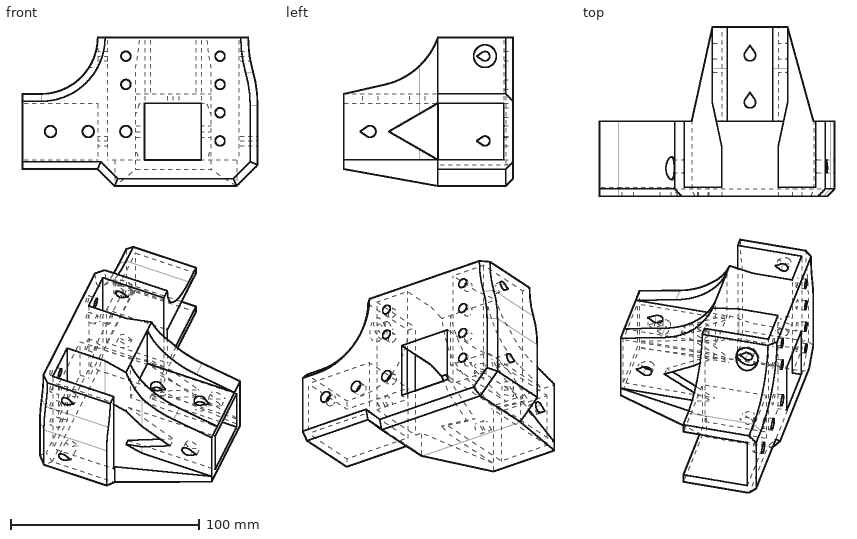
import cadquery as cq
import math

length = 125.0
depth = 90.0
height = 79.0
wall = 5.0

body_depth = 40.0
front_chamfer = 4.0
scoop_radius = 30.0
arm_end = 40.0
arm_bottom = 9.0
arm_top = height - scoop_radius
cavity_bottom = arm_bottom + wall
cavity_top = arm_top - wall
cavity_height = cavity_top - cavity_bottom
foot_left = arm_end + arm_bottom
foot_chamfer = 11.2
foot_right = length - foot_chamfer

right_top = 120.0
curve_start = 43.0
curve_height = height - curve_start
half_step = (length - right_top) / 2
half_rise = curve_height / 2
curve_radius = (half_step**2 + half_rise**2) / (2 * half_step)

tunnel_width = 30.0
center_x = 80.0
tunnel_left = center_x - tunnel_width / 2
tail_width = tunnel_width + 2 * wall
tail_left = center_x - tail_width / 2
flare_start = 26.5
flare_end = 50.0
rib_width = 8.0
rib_bend_y = 68.0
rib_bend_z = 54.0

well_left = arm_end + wall
well_right = right_top - wall

small_hole = 5.0
large_hole = 6.0
counterbore = 12.0
teardrop_tip_ratio = 1.75
small_hole_columns = [
    (55.0, [54.0, 69.0]),
    (105.0, [24.0, 39.0, 54.0, 69.0]),
]
large_hole_xs = [15.0, 35.0, 55.0]
mid_height = (cavity_bottom + cavity_top) / 2
side_hole_y = 15.0
side_hole_zs = [24.0, 69.0]
tail_side_hole_y = 76.0
rear_plate_hole_y = 75.0
front_plate_hole_y = 50.0


def block(x0, x1, y0, y1, z0, z1):
    """Box given by its limits along each axis."""
    return cq.Workplane("XY").box(x1 - x0, y1 - y0, z1 - z0, centered=False).translate((x0, y0, z0))


def arc_point(center, radius, degrees):
    """Point on a circle at the given angle."""
    angle = math.radians(degrees)
    return (center[0] + radius * math.cos(angle), center[1] + radius * math.sin(angle))


def make_body():
    """Solid body profile with a chamfer round the front, except at the arm end and the top."""
    half_angle = math.degrees(math.asin(half_rise / curve_radius)) / 2
    lower_center = (length - curve_radius, curve_start)
    upper_center = (right_top + curve_radius, height)
    body = (
        cq.Workplane("XZ")
        .moveTo(0, arm_bottom)
        .lineTo(arm_end, arm_bottom)
        .lineTo(foot_left, 0)
        .lineTo(foot_right, 0)
        .lineTo(length, foot_chamfer)
        .lineTo(length, curve_start)
        .threePointArc(
            arc_point(lower_center, curve_radius, half_angle),
            (length - half_step, curve_start + half_rise),
        )
        .threePointArc(arc_point(upper_center, curve_radius, 180 + half_angle), (right_top, height))
        .lineTo(arm_end, height)
        .threePointArc(
            arc_point((arm_end - scoop_radius, height), scoop_radius, -45),
            (arm_end - scoop_radius, arm_top),
        )
        .lineTo(0, arm_top)
        .close()
        .extrude(-body_depth)
    )
    margin = 1.2
    chamfered = cq.selectors.BoxSelector(
        (margin, -margin, -margin),
        (length + margin, margin, height - margin),
    )
    return body.faces("<Y").edges(chamfered).chamfer(front_chamfer)


def make_core():
    """Core between the wells, flaring into the tail and cut to the falling rib profile."""
    right = 2 * center_x - tunnel_left
    tail_right = tail_left + tail_width
    plan = (
        cq.Workplane("XY")
        .workplane(offset=cavity_bottom)
        .polyline([
            (tunnel_left, 0), (tunnel_left, flare_start), (tail_left, flare_end), (tail_left, depth),
            (tail_right, depth), (tail_right, flare_end), (right, flare_start), (right, 0),
        ])
        .close()
        .extrude(height - cavity_bottom)
    )
    profile = (
        cq.Workplane("YZ")
        .moveTo(wall, cavity_bottom)
        .lineTo(depth, cavity_bottom)
        .lineTo(depth, arm_top)
        .lineTo(rib_bend_y, rib_bend_z)
        .tangentArcPoint((body_depth, height), relative=False)
        .lineTo(wall, height)
        .close()
        .extrude(length)
    )
    rib_gap = tail_width - 2 * rib_width
    gap_left = tail_left + rib_width
    channel = block(gap_left, gap_left + rib_gap, body_depth, depth, arm_top, height)
    return plan.intersect(profile).cut(channel)


def make_tail_floor():
    """Floor under the tail, tapering in width and thickness towards the back."""
    def section(x0, x1, bottom, y):
        corners = [(x0, bottom), (x1, bottom), (x1, cavity_bottom), (x0, cavity_bottom)]
        return cq.Wire.makePolygon([cq.Vector(x, y, z) for x, z in corners], close=True)

    front = section(foot_left, foot_right, 0, body_depth)
    back = section(tail_left, tail_left + tail_width, arm_bottom, depth)
    return cq.Workplane(cq.Solid.makeLoft([front, back], True))


def make_side_opening():
    """Equilateral triangular opening through both tail walls, pointing back."""
    apex_y = body_depth + cavity_height * math.sqrt(3) / 2
    return (
        cq.Workplane("YZ")
        .polyline([(body_depth, cavity_bottom), (apex_y, mid_height), (body_depth, cavity_top)])
        .close()
        .extrude(length)
    )


def front_hole(x, z, diameter):
    """Round hole through the front wall."""
    return cq.Workplane("XZ").center(x, z).circle(diameter / 2).extrude(-wall)


def teardrop(plane, diameter, tip_direction, start, span):
    """Teardrop prism extruded from a base plane, with its tip along the given direction."""
    radius = diameter / 2
    tip = teardrop_tip_ratio * radius
    tangent_along = radius**2 / tip
    tangent_across = math.sqrt(radius**2 - tangent_along**2)

    def point(along, across):
        dx, dy = tip_direction
        return (along * dx - across * dy, along * dy + across * dx)

    return (
        cq.Workplane(plane)
        .moveTo(*point(tip, 0))
        .lineTo(*point(tangent_along, tangent_across))
        .threePointArc(point(-radius, 0), point(tangent_along, -tangent_across))
        .close()
        .extrude(span)
        .translate(start)
    )


def side_teardrop(y, z, diameter):
    """Teardrop through the part along X."""
    return teardrop("YZ", diameter, (1, 0), (0, y, z), length)


def plate_teardrop(y):
    """Teardrop down through the plate over the tunnel."""
    return teardrop("XY", large_hole, (0, 1), (center_x, y, cavity_top), height)


hollow_body = make_body().cut(block(0, arm_end, wall, body_depth, cavity_bottom, cavity_top))
hollow_body = hollow_body.cut(block(well_left, well_right, wall, body_depth, cavity_bottom, height))

for hole_z in side_hole_zs:
    hollow_body = hollow_body.cut(side_teardrop(side_hole_y, hole_z, small_hole))
bore = (
    cq.Workplane("YZ")
    .center(side_hole_y, max(side_hole_zs))
    .circle(counterbore / 2)
    .extrude(arm_end)
)
hollow_body = hollow_body.cut(bore)

result = hollow_body.union(make_core()).union(make_tail_floor())

result = result.cut(block(tunnel_left, tunnel_left + tunnel_width, 0, depth, cavity_bottom, cavity_top))
result = result.cut(make_side_opening())
result = result.cut(side_teardrop(tail_side_hole_y, mid_height, large_hole))

result = result.cut(block(well_left, well_right, wall, body_depth, cavity_bottom, cavity_top))

for plate_y in (front_plate_hole_y, rear_plate_hole_y):
    result = result.cut(plate_teardrop(plate_y))

for column_x, hole_zs in small_hole_columns:
    for hole_z in hole_zs:
        result = result.cut(front_hole(column_x, hole_z, small_hole))
for hole_x in large_hole_xs:
    result = result.cut(front_hole(hole_x, mid_height, large_hole))